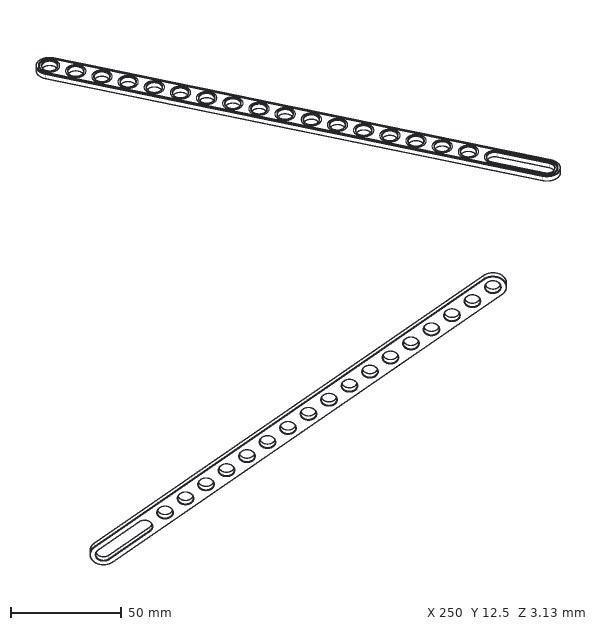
import cadquery as cq

pitch = 12.5
length_units = 20
slot_units = 3
bore_diameter = 7.0
edge_chamfer = 0.3
border_width = 1.1
recess_depth = 0.2

thickness = pitch / 4
top_z = thickness / 2
bar_length = length_units * pitch
hole_count = length_units - slot_units
first_hole_x = -(bar_length - pitch) / 2
hole_centers = [(first_hole_x + i * pitch, 0) for i in range(hole_count)]
slot_travel = (slot_units - 1) * pitch
slot_center_x = first_hole_x + hole_count * pitch + slot_travel / 2


def make_bar():
    """Flat bar with full-round ends, centred on the origin and running along X."""
    outline = cq.Workplane("XY", origin=(0, 0, -top_z)).slot2D(bar_length, pitch)
    return outline.extrude(thickness)


def bore_columns(diameter, bottom_z, height):
    """Upright columns of the given width at every hole and at the slot."""
    base = cq.Workplane("XY", origin=(0, 0, bottom_z))
    holes = base.pushPoints(hole_centers).circle(diameter / 2).extrude(height)
    slot = base.center(slot_center_x, 0).slot2D(slot_travel + diameter, diameter).extrude(height)
    return holes.union(slot)


def make_recess():
    """Shallow cutter for the top face that leaves borders round the outline and the bores."""
    floor_z = top_z - recess_depth
    floor = cq.Workplane("XY", origin=(0, 0, floor_z))
    inset = 2 * border_width
    field = floor.slot2D(bar_length - inset, pitch - inset).extrude(recess_depth)
    return field.cut(bore_columns(bore_diameter + inset, floor_z, recess_depth))


perforated_bar = make_bar().cut(bore_columns(bore_diameter, -top_z, thickness))
bevelled_bar = perforated_bar.faces("|Z").edges().chamfer(edge_chamfer)
result = bevelled_bar.cut(make_recess())